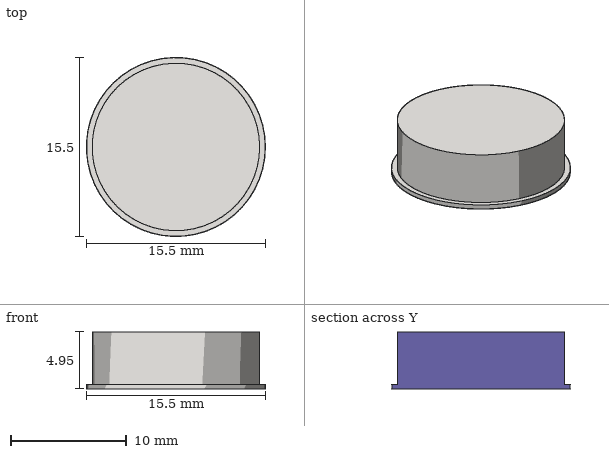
import cadquery as cq

flange_diameter = 15.5
flange_thickness = 0.4
body_diameter = 14.5
total_height = 4.95

body_height = total_height - flange_thickness

flange = cq.Workplane("XY").circle(flange_diameter / 2).extrude(flange_thickness)

result = flange.faces(">Z").workplane().circle(body_diameter / 2).extrude(body_height)